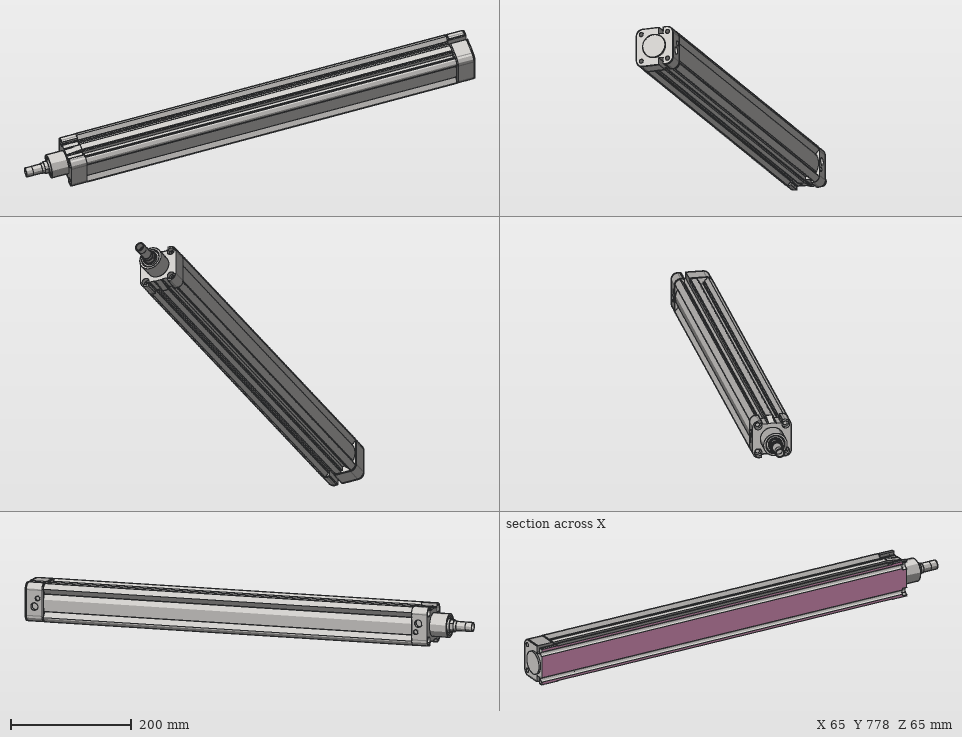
import cadquery as cq
import math

TOTAL_LENGTH = 778.0
WIDTH = 65.0
HALF = WIDTH / 2
ROD_REACH = 69.0
REAR_BOSS_LENGTH = 3.0
REAR_FACE = TOTAL_LENGTH - ROD_REACH - REAR_BOSS_LENGTH

CAP_CORNER_RADIUS = 11.0
FRONT_CAP_LENGTH = 27.0
REAR_CAP_LENGTH = 32.0
REAR_CAP_START = REAR_FACE - REAR_CAP_LENGTH
BARREL_LENGTH = REAR_CAP_START - FRONT_CAP_LENGTH
RIM_LENGTH = 2.0
RIM_INSET = 0.4

BOLT_OFFSET = 23.0
BOLT_HOLE_RADIUS = 3.5
COUNTERBORE_RADIUS = 6.0
COUNTERBORE_DEPTH = 8.0

SLOT_INNER = 8.0
SLOT_OUTER = 15.5
SLOT_MOUTH = 18.0
SLOT_FLOOR = 21.0
RECESS_FLOOR = 27.0
FRONT_SLOT_FLOOR = 26.5
REAR_STEP = 1.0

LAND_EDGE = 24.0
BARREL_CORNER_RADIUS = 10.0
SHOULDER_HEIGHT = 26.5
LEDGE_HEIGHT = 25.0
RIB_LEDGE_HEIGHT = 28.0
RIB_HEIGHT = 32.0
RIB_EDGE_HEIGHT = 31.0
RIB_HALF_WIDTH = 5.5
BULGE_RADIUS = 31.0
BULGE_HALF_HEIGHT = 15.0
GROOVE_BOTTOM = 24.0
BULGE_EDGE = math.sqrt(BULGE_RADIUS**2 - BULGE_HALF_HEIGHT**2)

COLLAR_RADIUS = 19.85
COLLAR_LENGTH = 29.0
WIPER_RADIUS = 12.0
WIPER_LENGTH = 2.0
DISH_MOUTH_RADIUS = 16.0
DISH_FLOOR_RADIUS = 15.0
DISH_DEPTH = 1.5

PORT_RADIUS = 6.0
PORT_DEPTH = 8.0
SCREW_RADIUS = 4.0
SCREW_DEPTH = 4.0
FRONT_PORT = (15.5, 6.0)
FRONT_SCREW = (20.0, -8.5)
REAR_PORT = (REAR_FACE - 16.0, -6.0)
REAR_SCREW = (REAR_FACE - 22.0, 8.0)

ROD_RADIUS = 10.0
THREAD_RADIUS = 8.0
THREAD_LENGTH = 27.0
SHANK_RADIUS = 8.5
SHANK_LENGTH = 5.0
TIP_HOLE_RADIUS = 6.0
TIP_HOLE_DEPTH = 12.0
FLATS_WIDTH = 17.0
ROD_SHOULDER = -ROD_REACH + THREAD_LENGTH + SHANK_LENGTH
FLATS_END = -COLLAR_LENGTH - WIPER_LENGTH
ROD_INNER_END = FRONT_CAP_LENGTH


def section(y):
    """Sketch plane across the axis: local x is X, local y is Z, negative extrusions run toward +Y."""
    return cq.Workplane("XZ", origin=(0, y, 0))


def square_block(start, length, half, corner_radius):
    block = section(start).rect(2 * half, 2 * half).extrude(-length)
    return block.edges("|Y").fillet(corner_radius)


def disc(start, length, radius):
    return section(start).circle(radius).extrude(-length)


def side_hole(place, radius, depth):
    y, z = place
    return cq.Workplane("YZ", origin=(-HALF, y, z)).circle(radius).extrude(depth)


def side_recess(side):
    """Hollow along one flank of the barrel that leaves a round bulge in the middle."""
    return (
        section(FRONT_CAP_LENGTH)
        .moveTo(side * HALF, LAND_EDGE)
        .lineTo(side * GROOVE_BOTTOM, BULGE_HALF_HEIGHT)
        .lineTo(side * BULGE_EDGE, BULGE_HALF_HEIGHT)
        .threePointArc((side * BULGE_RADIUS, 0), (side * BULGE_EDGE, -BULGE_HALF_HEIGHT))
        .lineTo(side * GROOVE_BOTTOM, -BULGE_HALF_HEIGHT)
        .lineTo(side * HALF, -LAND_EDGE)
        .close()
        .extrude(-BARREL_LENGTH)
    )


def slotted_recess(side):
    """Sloped shoulders and two stepped slots beside a crowned rib, on the top (1) or bottom (-1)."""
    left_wall = [
        (-LAND_EDGE, HALF),
        (-SLOT_MOUTH, SHOULDER_HEIGHT),
        (-SLOT_MOUTH, LEDGE_HEIGHT),
        (-SLOT_OUTER, LEDGE_HEIGHT),
        (-SLOT_OUTER, SLOT_FLOOR),
        (-SLOT_INNER, SLOT_FLOOR),
        (-SLOT_INNER, RIB_LEDGE_HEIGHT),
        (-RIB_HALF_WIDTH, RIB_LEDGE_HEIGHT),
        (-RIB_HALF_WIDTH, RIB_EDGE_HEIGHT),
    ]
    left = [(x, side * z) for x, z in left_wall]
    right = [(-x, z) for x, z in reversed(left)]
    return (
        section(FRONT_CAP_LENGTH)
        .polyline(left)
        .threePointArc((0, side * RIB_HEIGHT), right[0])
        .polyline(right[1:], includeCurrent=True)
        .close()
        .extrude(-BARREL_LENGTH)
    )


def barrel():
    block = square_block(FRONT_CAP_LENGTH, BARREL_LENGTH, HALF, BARREL_CORNER_RADIUS)
    for side in (1, -1):
        block = block.cut(side_recess(side)).cut(slotted_recess(side))
    return block


def open_slot(x_from, x_to, floor, side, start, length):
    """Rectangular slot between two x positions, from the floor height out through the top or bottom."""
    depth = HALF - floor
    middle = ((x_from + x_to) / 2, side * (floor + depth / 2))
    return section(start).center(*middle).rect(x_to - x_from, depth).extrude(-length)


def front_recess(side):
    """Wide recess across the middle of the front cap with a shallow slot near each end."""
    span = (side, 0, FRONT_CAP_LENGTH)
    recess = open_slot(-SLOT_MOUTH, SLOT_MOUTH, RECESS_FLOOR, *span)
    left_slot = open_slot(-SLOT_OUTER, -SLOT_INNER, FRONT_SLOT_FLOOR, *span)
    right_slot = open_slot(SLOT_INNER, SLOT_OUTER, FRONT_SLOT_FLOOR, *span)
    return recess.union(left_slot).union(right_slot)


def front_ramp(side):
    """Wedge that rises from the recess floor at the front face to the barrel rib."""
    return (
        cq.Workplane("YZ", origin=(-RIB_HALF_WIDTH, 0, 0))
        .moveTo(0, side * RECESS_FLOOR)
        .lineTo(FRONT_CAP_LENGTH, side * RECESS_FLOOR)
        .lineTo(FRONT_CAP_LENGTH, side * RIB_EDGE_HEIGHT)
        .close()
        .extrude(2 * RIB_HALF_WIDTH)
    )


def front_cap():
    cap = square_block(0, FRONT_CAP_LENGTH, HALF, CAP_CORNER_RADIUS)
    for side in (1, -1):
        cap = cap.cut(front_recess(side)).union(front_ramp(side))
    cap = cap.cut(side_hole(FRONT_PORT, PORT_RADIUS, PORT_DEPTH))
    return cap.cut(side_hole(FRONT_SCREW, SCREW_RADIUS, SCREW_DEPTH))


def rear_slot(side):
    """Single slot with an outer ledge that continues one barrel slot through the rear cap."""
    span = (side, REAR_CAP_START, REAR_CAP_LENGTH)
    slot = open_slot(-SLOT_OUTER, -SLOT_INNER, SLOT_FLOOR, *span)
    ledge = open_slot(-SLOT_MOUTH, -SLOT_OUTER, HALF - REAR_STEP, *span)
    return slot.union(ledge)


def rear_cap():
    rims = square_block(REAR_CAP_START, REAR_CAP_LENGTH, HALF - RIM_INSET, CAP_CORNER_RADIUS)
    middle_length = REAR_CAP_LENGTH - 2 * RIM_LENGTH
    middle = square_block(REAR_CAP_START + RIM_LENGTH, middle_length, HALF, CAP_CORNER_RADIUS)
    cap = rims.union(middle)
    for side in (1, -1):
        cap = cap.cut(rear_slot(side))
    cap = cap.cut(side_hole(REAR_PORT, PORT_RADIUS, PORT_DEPTH))
    return cap.cut(side_hole(REAR_SCREW, SCREW_RADIUS, SCREW_DEPTH))


def collar():
    """Round collar with a dished front face and a wiper ring around the rod."""
    ring = disc(-COLLAR_LENGTH, COLLAR_LENGTH, COLLAR_RADIUS)
    dish = (
        section(-COLLAR_LENGTH)
        .circle(DISH_MOUTH_RADIUS)
        .workplane(offset=-DISH_DEPTH)
        .circle(DISH_FLOOR_RADIUS)
        .loft()
    )
    wiper = disc(-COLLAR_LENGTH - WIPER_LENGTH, WIPER_LENGTH + DISH_DEPTH, WIPER_RADIUS)
    return ring.cut(dish).union(wiper)


def tie_bolt_holes():
    corners = [(sx * BOLT_OFFSET, sz * BOLT_OFFSET) for sx in (1, -1) for sz in (1, -1)]
    holes = section(0).pushPoints(corners).circle(BOLT_HOLE_RADIUS).extrude(-REAR_FACE)
    bores = section(0).pushPoints(corners).circle(COUNTERBORE_RADIUS).extrude(-COUNTERBORE_DEPTH)
    return holes.union(bores)


def housing():
    rear_boss = disc(REAR_FACE, REAR_BOSS_LENGTH, COLLAR_RADIUS)
    rod_bore = disc(FLATS_END, ROD_INNER_END - FLATS_END, ROD_RADIUS)
    body = barrel().union(front_cap()).union(rear_cap()).union(collar()).union(rear_boss)
    return body.cut(tie_bolt_holes()).cut(rod_bore)


def piston_rod():
    """Rod with two wrench flats on its exposed part and a narrower, drilled front end."""
    exposed = FLATS_END - ROD_SHOULDER
    exposed_rod = disc(ROD_SHOULDER, exposed, ROD_RADIUS)
    flats_envelope = section(ROD_SHOULDER).rect(FLATS_WIDTH, 2 * ROD_RADIUS).extrude(-exposed)
    guided_rod = disc(FLATS_END, ROD_INNER_END - FLATS_END, ROD_RADIUS)
    rod = exposed_rod.intersect(flats_envelope).union(guided_rod)
    shank = disc(ROD_SHOULDER - SHANK_LENGTH, SHANK_LENGTH, SHANK_RADIUS)
    thread = disc(-ROD_REACH, THREAD_LENGTH, THREAD_RADIUS)
    tip_hole = disc(-ROD_REACH, TIP_HOLE_DEPTH, TIP_HOLE_RADIUS)
    return rod.union(shank).union(thread).cut(tip_hole)


result = cq.Compound.makeCompound([*housing().solids().vals(), *piston_rod().solids().vals()])